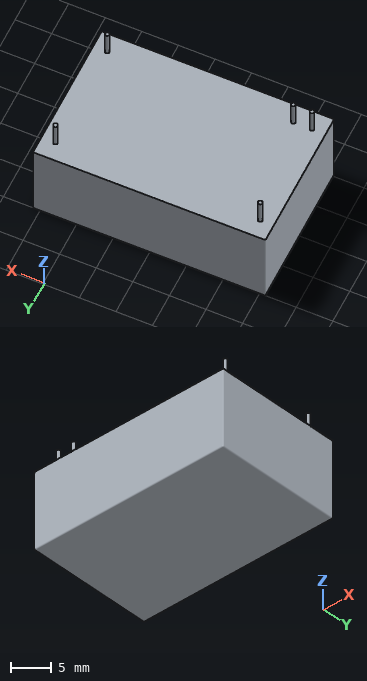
import cadquery as cq

case_length = 31.8
case_width = 20.3
case_height = 12.08
edge_radius = 0.2

overall_height = 15.8
pin_diameter = 0.6
pin_length = overall_height - case_height
grid_pitch = 2.55
first_pin_inset = 1.88
first_column = -case_length / 2 + first_pin_inset
second_column = first_column + grid_pitch
last_column = first_column + 11 * grid_pitch
front_row = -3 * grid_pitch
back_row = 3 * grid_pitch
pin_centres = [
    (first_column, front_row),
    (second_column, front_row),
    (last_column, front_row),
    (first_column, back_row),
    (last_column, back_row),
]


def make_case():
    """Box with rounded upright and bottom edges and a sharp top rim."""
    box = cq.Workplane("XY").box(case_length, case_width, case_height, centered=(True, True, False))
    return box.edges("|Z or <Z").fillet(edge_radius)


def make_pins():
    """Round pins rising from the top face."""
    top_face = cq.Workplane("XY").workplane(offset=case_height)
    return top_face.pushPoints(pin_centres).circle(pin_diameter / 2).extrude(pin_length)


result = make_case().union(make_pins())